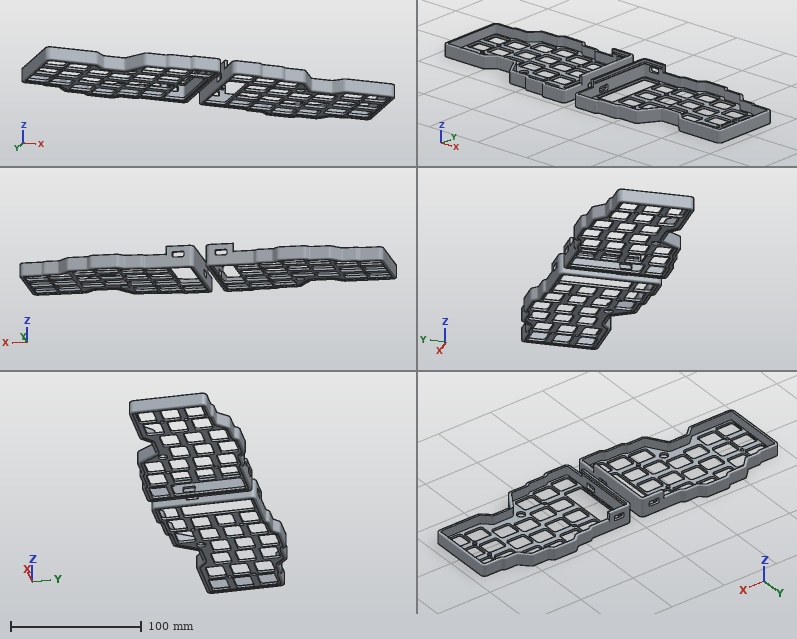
import cadquery as cq
half_length = 142.2
half_gap = 4.5
wall_height = 10.8
raised_height = 17.0
wall = 2.5
floor_bottom = 0.9
floor_top = 2.8
edge_radius = 1.0
convex_radius = 4.0
concave_radius = 2.0

key_width = 17.0
key_depth = 14.0
key_radius = 2.3
column_pitch = 18.8
row_pitch = 19.0
rim = 4.5
inner_column_x = -16.8
outer_column_shift = 1.0
column_step = 2.3

thumb_x = inner_column_x
index_near_x = thumb_x - column_pitch
index_far_x = index_near_x - column_pitch
middle_x = index_far_x - column_pitch
ring_x = middle_x - column_pitch
little_near_x = ring_x - column_pitch - outer_column_shift
little_far_x = little_near_x - column_pitch

index_far_y = 0.0
index_near_y = index_far_y - column_step
thumb_y = index_near_y - column_step
middle_y = 14.2
ring_y = 10.8
little_far_y = 0.5
little_near_y = 2.3

key_columns = [
    (index_near_x, index_near_y, 4),
    (index_far_x, index_far_y, 4),
    (middle_x, middle_y, 3),
    (ring_x, ring_y, 3),
    (little_near_x, little_near_y, 3),
    (little_far_x, little_far_y, 3),
]

bay_bottom_y = -22.7
raised_end_x = -26.2
raised_end_y = -24.0
ridge_end_gap = 1.7
ridge_bottom = 13.5
ridge_height = 1.7
ridge_depth = 0.9
port_width = 9.0
port_height = 4.3
port_radius = 1.0
port_z = 10.2
link_width = 9.7
link_height = 4.5
link_radius = 1.0
link_y = -12.0
link_z = 6.5

screw_diameter = 3.0
reset_diameter = 7.0
reset_x = -68.5
reset_y = -19.0


def rows_edge(center_y, rows, side):
    """Y of the outside of the wall beyond a column: side is +1 for back, -1 for front."""
    return center_y + side * ((rows - 1) * row_pitch / 2 + key_depth / 2 + rim)


back_little_far = rows_edge(little_far_y, 3, 1)
back_little_near = rows_edge(little_near_y, 3, 1)
back_ring = rows_edge(ring_y, 3, 1)
back_middle = rows_edge(middle_y, 3, 1)
back_index_far = rows_edge(index_far_y, 4, 1)
back_inner = rows_edge(index_near_y, 4, 1)
front_outer = rows_edge(little_far_y, 3, -1)
front_index_far = rows_edge(index_far_y, 4, -1)
front_index_near = rows_edge(index_near_y, 4, -1)
front_thumb = rows_edge(thumb_y, 4, -1)
front_notch = -22.7

outline_points = [
    (-half_length, front_outer),
    (-100.6, front_outer),
    (-93.0, front_notch),
    (-76.2, front_notch),
    (-65.0, front_index_far),
    (-48.3, front_index_far),
    (-46.5, front_index_near),
    (-29.0, front_index_near),
    (-28.5, front_thumb),
    (-half_gap, front_thumb),
    (-half_gap, back_inner),
    (-42.6, back_inner),
    (-44.5, back_index_far),
    (-57.7, back_index_far),
    (-62.5, back_middle),
    (-84.0, back_middle),
    (-87.0, back_ring),
    (-102.5, back_ring),
    (-111.0, back_little_near),
    (-122.2, back_little_near),
    (-124.2, back_little_far),
    (-half_length, back_little_far),
]


def outline(inset):
    """Rounded outline of the left half, moved inwards by the given distance."""
    return (
        cq.Workplane("XY")
        .polyline(outline_points)
        .close()
        .offset2D(-convex_radius)
        .offset2D(convex_radius + concave_radius)
        .offset2D(-concave_radius - inset)
    )


def outer_block(height):
    return outline(0).extrude(height).faces("<Z or >Z").edges().fillet(edge_radius)


def raised_corner():
    """Tall block around the inner back corner."""
    zone = (
        cq.Workplane("XY")
        .box(-raised_end_x, back_inner - raised_end_y, raised_height, centered=False)
        .translate((raised_end_x, raised_end_y, 0))
    )
    return outer_block(raised_height).intersect(zone)


def key_openings():
    points = [(thumb_x, thumb_y - 1.5 * row_pitch)]
    for x, center_y, rows in key_columns:
        for row in range(rows):
            points.append((x, center_y + (row - (rows - 1) / 2) * row_pitch))
    return (
        cq.Workplane("XY")
        .pushPoints(points)
        .rect(key_width, key_depth)
        .extrude(floor_top)
        .edges("|Z")
        .fillet(key_radius)
    )


def bay_opening():
    depth = back_inner - rim - bay_bottom_y
    return (
        cq.Workplane("XY")
        .center(thumb_x, bay_bottom_y + depth / 2)
        .rect(key_width, depth)
        .extrude(floor_top)
        .edges("|Z")
        .fillet(key_radius)
    )


def round_holes():
    outer_x = (little_far_x + little_near_x) / 2
    outer_y = (little_far_y + little_near_y) / 2
    inner_x = (index_far_x + index_near_x) / 2
    inner_y = (index_far_y + index_near_y) / 2
    screw_points = []
    for side in (-1, 1):
        screw_points.append((outer_x, outer_y + side * row_pitch / 2))
        screw_points.append((inner_x, inner_y + side * row_pitch))
    screws = cq.Workplane("XY").pushPoints(screw_points).circle(screw_diameter / 2).extrude(floor_top)
    reset = cq.Workplane("XY").center(reset_x, reset_y).circle(reset_diameter / 2).extrude(floor_top)
    return screws.union(reset)


def port_opening():
    """Cable port through the raised back wall."""
    return (
        cq.Workplane("XZ", origin=(thumb_x, back_inner, port_z))
        .rect(port_width, port_height)
        .extrude(wall)
        .edges("|Y")
        .fillet(port_radius)
    )


def link_opening():
    """Opening through the inner side wall, facing the other half."""
    return (
        cq.Workplane("YZ", origin=(-half_gap, link_y, link_z))
        .rect(link_width, link_height)
        .extrude(-wall)
        .edges("|X")
        .fillet(link_radius)
    )


def snap_ridge():
    """V-shaped ridge along the inside of the raised wall."""
    profile = [(0, ridge_bottom), (0, ridge_bottom + ridge_height), (-ridge_depth, ridge_bottom + ridge_height / 2)]
    inner_x = -half_gap - wall
    inner_y = back_inner - wall
    back_length = inner_x - raised_end_x - ridge_end_gap
    side_length = inner_y - raised_end_y - ridge_end_gap
    back = cq.Workplane("YZ", origin=(inner_x, inner_y, 0)).polyline(profile).close().extrude(-back_length)
    side = cq.Workplane("XZ", origin=(inner_x, inner_y, 0)).polyline(profile).close().extrude(side_length)
    return back.union(side)


def build_left_case():
    case = outer_block(wall_height).union(raised_corner())
    above_floor = outline(wall).extrude(raised_height).translate((0, 0, floor_top))
    below_floor = outline(wall).extrude(floor_bottom)
    case = case.cut(above_floor).cut(below_floor)
    case = case.union(snap_ridge())
    case = case.cut(key_openings()).cut(bay_opening()).cut(round_holes())
    return case.cut(port_opening()).cut(link_opening())


left_case = build_left_case()
right_case = left_case.mirror("YZ")

result = cq.Compound.makeCompound([left_case.val(), right_case.val()])